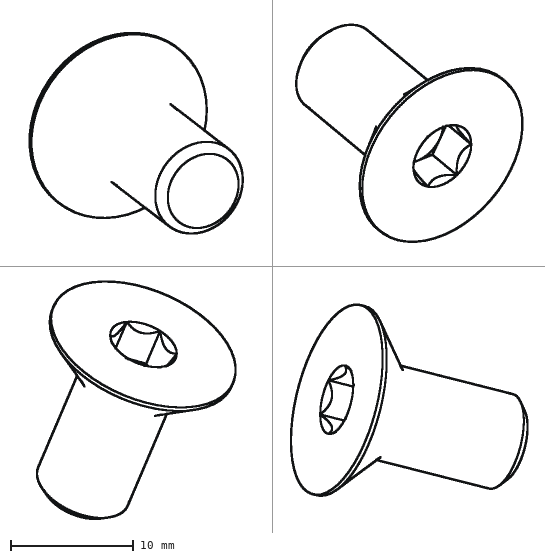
import cadquery as cq
import math

length = 16.0
head_radius = 8.0
shank_radius = 4.0
rim_width = 0.38
head_slope = math.radians(45)
neck_radius = 0.5
tip_chamfer = 0.77

socket_flats = 5.0
socket_depth = 3.5
drill_radius = socket_flats / 2
corner_radius = drill_radius / math.cos(math.pi / 6)
mouth_slope = math.radians(60)
drill_slope = math.radians(30)


def revolve_about_x(profile):
    return profile.close().revolve(360, (0, 0, 0), (1, 0, 0))


def make_body():
    corner_x = rim_width + (head_radius - shank_radius) / math.tan(head_slope)
    tangent = neck_radius * math.tan(head_slope / 2)
    cone_end = (
        corner_x - tangent * math.cos(head_slope),
        shank_radius + tangent * math.sin(head_slope),
    )
    neck_end = (corner_x + tangent, shank_radius)
    neck_middle = (
        neck_end[0] - neck_radius * math.sin(head_slope / 2),
        shank_radius + neck_radius * (1 - math.cos(head_slope / 2)),
    )
    return revolve_about_x(
        cq.Workplane("XY")
        .lineTo(0, head_radius)
        .lineTo(rim_width, head_radius)
        .lineTo(*cone_end)
        .threePointArc(neck_middle, neck_end)
        .lineTo(length - tip_chamfer, shank_radius)
        .lineTo(length, shank_radius - tip_chamfer)
        .lineTo(length, 0)
    )


def make_socket():
    hexagon = cq.Workplane("YZ").polygon(6, 2 * corner_radius).extrude(socket_depth)
    drill_point = revolve_about_x(
        cq.Workplane("XY")
        .moveTo(socket_depth, 0)
        .lineTo(socket_depth, drill_radius)
        .lineTo(socket_depth + drill_radius * math.tan(drill_slope), 0)
    )
    mouth_depth = (corner_radius - drill_radius) * math.tan(mouth_slope)
    mouth = revolve_about_x(
        cq.Workplane("XY")
        .lineTo(0, corner_radius)
        .lineTo(mouth_depth, drill_radius)
        .lineTo(mouth_depth, 0)
    )
    return hexagon.union(drill_point).union(mouth)


result = make_body().cut(make_socket())